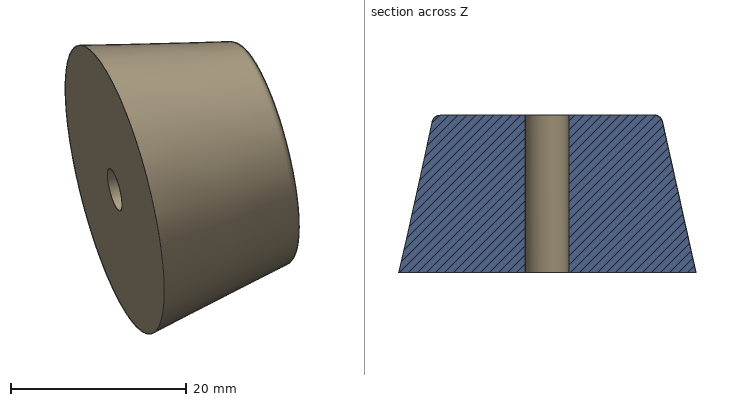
import cadquery as cq

base_diameter = 34.0
height = 18.0
top_diameter = 26.0
edge_radius = 1.0
hole_diameter = 5.0

body = (
    cq.Workplane("XY")
    .lineTo(base_diameter / 2, 0)
    .lineTo(top_diameter / 2, height)
    .lineTo(0, height)
    .close()
    .revolve(360, (0, 0, 0), (0, 1, 0))
)

body = body.faces(">Y").edges().fillet(edge_radius)

hole = cq.Workplane("XZ").circle(hole_diameter / 2).extrude(-height)
result = body.cut(hole)